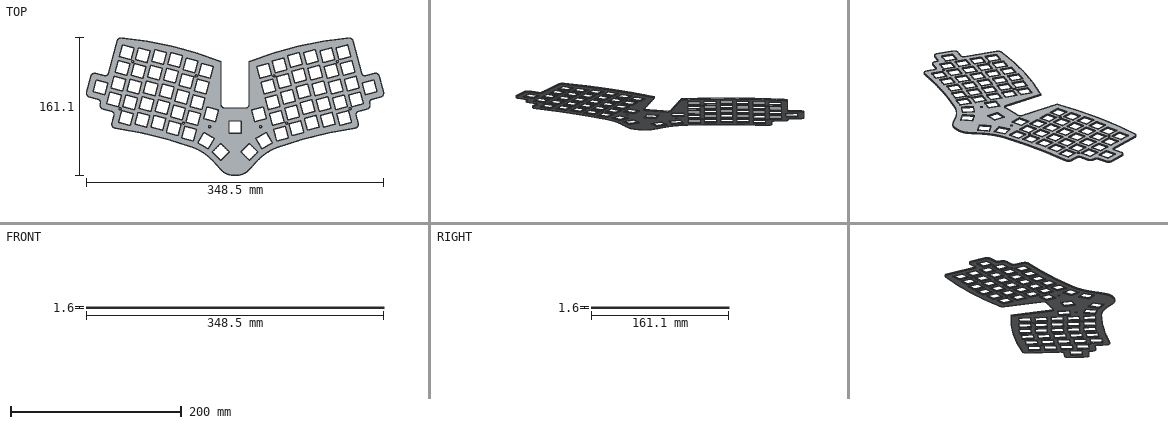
import cadquery as cq
import math

THICKNESS = 1.6
KEY_SIZE = 14.0
KEY_PITCH = 19.05
SCREW_DIAMETER = 2.4

GRID_ANGLE = 15.0
FIRST_COLUMN_U = 50.0
MIDDLE_ROW_V = [16.7, 18.2, 19.7, 18.2, 15.2, 13.7]
ROWS_BELOW_MIDDLE = [2, 2, 2, 2, 2, 1]
ROWS_ABOVE_MIDDLE = 2
HALF_ROW = 0.5
LAST_COLUMN = len(MIDDLE_ROW_V) - 1

THUMB_KEYS = [(34.0, -15.9, 30.0), (16.8, -29.1, 45.0)]
THUMB_SCREW = (29.9, 0.4)
GRID_SCREWS = [(0, 1.5), (0, -1.5), (4, 1.5), (4, -1.5)]

KEY_MARGIN = 14.5
SLOT_HALF_WIDTH = 16.3
SLOT_FLOOR_Y = 22.4
SLOT_TOP_Y = 76.6
TOP_RADIUS = 415.0
TOP_CENTER_X = 170.0
FRONT_RADIUS = 466.0
FRONT_CENTER = (206.3, -462.8)
BEND_START_X = 50.0
BEND_END = (26.5, -39.1)
TIP_Y = -56.6
TIP_HALF_WIDTH = 10.6
TIP_RADIUS = 19.0
CORNER_RADIUS = 5.0
STEP_RADIUS = 3.5
SLOT_RADIUS = 4.0


def grid_to_xy(u, v):
    angle = math.radians(GRID_ANGLE)
    x = u * math.cos(angle) - v * math.sin(angle)
    y = u * math.sin(angle) + v * math.cos(angle)
    return x, y


def column_u(column):
    return FIRST_COLUMN_U + column * KEY_PITCH


def row_v(column, rows_up):
    return MIDDLE_ROW_V[column] + rows_up * KEY_PITCH


INNER_KEY = (column_u(-1), row_v(0, -HALF_ROW))
OUTER_KEY = (column_u(LAST_COLUMN + 1), row_v(LAST_COLUMN, -HALF_ROW))


def arc_y(x, center, radius):
    """Y of the upper half of a circle at x."""
    return center[1] + math.sqrt(radius**2 - (x - center[0]) ** 2)


def arc_crossing(u, center, radius):
    """Point where the grid line of constant u meets the upper half of a circle."""
    angle = math.radians(GRID_ANGLE)
    center_u = center[0] * math.cos(angle) + center[1] * math.sin(angle)
    center_v = -center[0] * math.sin(angle) + center[1] * math.cos(angle)
    return grid_to_xy(u, center_v + math.sqrt(radius**2 - (u - center_u) ** 2))


def round_corners(plate, points, radius):
    for x, y in points:
        edge = plate.edges("|Z").edges(cq.selectors.NearestToPointSelector((x, y, THICKNESS / 2)))
        plate = edge.fillet(radius)
    return plate


def right_half():
    slot_top = (SLOT_HALF_WIDTH, SLOT_TOP_Y)
    slot_bottom = (SLOT_HALF_WIDTH, SLOT_FLOOR_Y)
    top_drop = math.sqrt(TOP_RADIUS**2 - (SLOT_HALF_WIDTH - TOP_CENTER_X) ** 2)
    top_center = (TOP_CENTER_X, SLOT_TOP_Y - top_drop)

    side_u = column_u(LAST_COLUMN) + KEY_MARGIN
    outer_u = OUTER_KEY[0] + KEY_MARGIN
    front_u = column_u(LAST_COLUMN - 1) + KEY_MARGIN
    outer_top_v = OUTER_KEY[1] + KEY_MARGIN
    outer_bottom_v = OUTER_KEY[1] - KEY_MARGIN
    step_v = row_v(LAST_COLUMN, -1) - KEY_MARGIN
    top_corner = arc_crossing(side_u, top_center, TOP_RADIUS)
    outer_top_inner = grid_to_xy(side_u, outer_top_v)
    outer_top = grid_to_xy(outer_u, outer_top_v)
    outer_bottom = grid_to_xy(outer_u, outer_bottom_v)
    outer_bottom_inner = grid_to_xy(side_u, outer_bottom_v)
    step_corner = grid_to_xy(side_u, step_v)
    step_inner = grid_to_xy(front_u, step_v)
    front_corner = arc_crossing(front_u, FRONT_CENTER, FRONT_RADIUS)

    bend_start = (BEND_START_X, arc_y(BEND_START_X, FRONT_CENTER, FRONT_RADIUS))
    tip_corner = (TIP_HALF_WIDTH, TIP_Y)
    top_middle_x = (slot_top[0] + top_corner[0]) / 2
    front_middle_x = (front_corner[0] + bend_start[0]) / 2

    plate = (
        cq.Workplane("XY")
        .moveTo(0, SLOT_FLOOR_Y)
        .lineTo(*slot_bottom)
        .lineTo(*slot_top)
        .threePointArc((top_middle_x, arc_y(top_middle_x, top_center, TOP_RADIUS)), top_corner)
        .lineTo(*outer_top_inner)
        .lineTo(*outer_top)
        .lineTo(*outer_bottom)
        .lineTo(*outer_bottom_inner)
        .lineTo(*step_corner)
        .lineTo(*step_inner)
        .lineTo(*front_corner)
        .threePointArc((front_middle_x, arc_y(front_middle_x, FRONT_CENTER, FRONT_RADIUS)), bend_start)
        .tangentArcPoint(BEND_END, relative=False)
        .lineTo(*tip_corner)
        .lineTo(0, TIP_Y)
        .close()
        .extrude(THICKNESS)
    )
    outer_corners = [top_corner, outer_top, outer_bottom, step_corner, front_corner]
    plate = round_corners(plate, outer_corners, CORNER_RADIUS)
    plate = round_corners(plate, [outer_top_inner, outer_bottom_inner, step_inner], STEP_RADIUS)
    plate = round_corners(plate, [slot_bottom], SLOT_RADIUS)
    return round_corners(plate, [tip_corner], TIP_RADIUS)


def key_cutter(x, y, angle):
    key = cq.Workplane("XY").rect(KEY_SIZE, KEY_SIZE).extrude(THICKNESS)
    return key.rotate((0, 0, 0), (0, 0, 1), angle).translate((x, y, 0))


def right_keys():
    """X, Y and rotation of every key of the right half."""
    grid_keys = [INNER_KEY, OUTER_KEY]
    for column, rows_below in enumerate(ROWS_BELOW_MIDDLE):
        for rows_up in range(-rows_below, ROWS_ABOVE_MIDDLE + 1):
            grid_keys.append((column_u(column), row_v(column, rows_up)))
    return [(*grid_to_xy(u, v), GRID_ANGLE) for u, v in grid_keys] + THUMB_KEYS


def right_screws():
    """Screw hole centres of the right half: one by the thumb keys, the rest amid four grid keys."""
    points = [THUMB_SCREW]
    for column, rows_up in GRID_SCREWS:
        v = (row_v(column, rows_up) + row_v(column + 1, rows_up)) / 2
        points.append(grid_to_xy(column_u(column + 0.5), v))
    return points


half = right_half()
for key in right_keys():
    half = half.cut(key_cutter(*key))
half = half.cut(cq.Workplane("XY").pushPoints(right_screws()).circle(SCREW_DIAMETER / 2).extrude(THICKNESS))

result = half.union(half.mirror("YZ")).clean().cut(key_cutter(0, 0, 0))